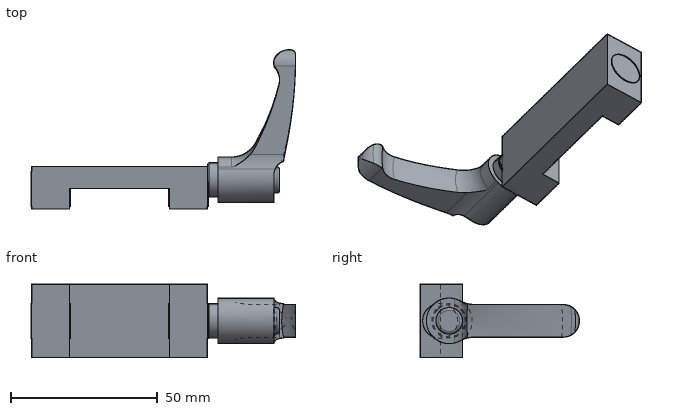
import cadquery as cq
import math

bar_length = 60.0
bar_depth = 14.55
bar_height = 25.0
foot_length = 13.0
notch_depth = 7.0

pad_radius = 6.0
pad_center_y = 6.9
pad_rise = 0.3

bar_start = pad_rise
bar_end = bar_start + bar_length

axis_y = 9.9
neck_radius = 5.5
collar_radius = 5.9
hub_radius = 7.8
screw_radius = 4.5
collar_start = 60.7
hub_start = 63.8
hub_end = 83.0
screw_end = 84.9
screw_edge_fillet = 0.9

lever_end_x = 90.4
arm_half_width = 5.6
arm_reach = 44.5
arm_base_radius = 7.9
arm_flat_start = 8.7
back_radius = 135.6
back_apex = 41.8
relief_radius = 4.7
relief_rise = 1.8


def disc(x_start, x_end, radius, y_center=axis_y):
    """Cylinder along X between two X positions."""
    return cq.Workplane("YZ", origin=(x_start, y_center, 0)).circle(radius).extrude(x_end - x_start)


def clamp_bar():
    """Bar with its notch and pads."""
    bar = (
        cq.Workplane("XY")
        .box(bar_length, bar_depth, bar_height, centered=(False, False, True))
        .translate((bar_start, 0, 0))
    )
    notch_length = bar_length - 2 * foot_length
    notch = (
        cq.Workplane("XY")
        .box(notch_length, notch_depth, bar_height, centered=(False, False, True))
        .translate((bar_start + foot_length, 0, 0))
    )
    bar = bar.cut(notch)
    for foot_start in (bar_start, bar_end - foot_length):
        foot_end = foot_start + foot_length
        bar = bar.union(disc(foot_start - pad_rise, foot_end + pad_rise, pad_radius, pad_center_y))
    return bar


def spindle():
    neck = disc(bar_end, collar_start, neck_radius)
    collar = disc(collar_start, hub_start, collar_radius)
    hub = disc(hub_start, hub_end, hub_radius)
    screw = disc(hub_start, screw_end, screw_radius).faces(">X").edges().fillet(screw_edge_fillet)
    return neck.union(collar).union(hub).union(screw)


def arm_section():
    """Arm seen along X: round tip, flat sides, and flares that run tangent into the hub."""
    flare_radius = (arm_half_width**2 + arm_flat_start**2 - hub_radius**2) / (
        2 * (hub_radius - arm_half_width)
    )
    flare_center_z = arm_half_width + flare_radius
    touch_angle = math.atan2(arm_flat_start, flare_center_z)
    touch_y = hub_radius * math.sin(touch_angle)
    touch_z = hub_radius * math.cos(touch_angle)
    flare_mid_y = arm_flat_start - flare_radius * math.sin(touch_angle / 2)
    flare_mid_z = flare_center_z - flare_radius * math.cos(touch_angle / 2)
    round_start = arm_reach - arm_half_width
    return (
        cq.Workplane("YZ", origin=(hub_start, axis_y, 0))
        .moveTo(touch_y, touch_z)
        .threePointArc((flare_mid_y, flare_mid_z), (arm_flat_start, arm_half_width))
        .lineTo(round_start, arm_half_width)
        .threePointArc((arm_reach, 0), (round_start, -arm_half_width))
        .lineTo(arm_flat_start, -arm_half_width)
        .threePointArc((flare_mid_y, -flare_mid_z), (touch_y, -touch_z))
        .threePointArc((-hub_radius, 0), (touch_y, touch_z))
        .close()
        .extrude(lever_end_x - hub_start)
    )


def back_x(radius):
    """X of the long, slightly bowed back of the arm at a radius from the hub axis."""
    return lever_end_x - back_radius + math.sqrt(back_radius**2 - (radius - back_apex) ** 2)


def arm_turning():
    """Side outline of the arm turned about the hub axis, so front and back curve around the hub."""
    root = (68.5, arm_base_radius)
    shank_bottom = (76.55, 12.5)
    shank_middle = (80.7, 20.9)
    shank_top = (84.7, 32.9)
    neck_middle = (84.6, 36.2)
    head_bottom = (83.15, 38.8)
    nose = (82.9, 40.7)
    nose_top = (83.5, 42.2)
    crown_middle = (85.9, 44.0)
    crown = (88.3, arm_reach)
    crown_corner = (89.8, 43.9)
    back_middle_radius = back_apex / 2
    return (
        cq.Workplane("XY", origin=(0, axis_y, 0))
        .moveTo(hub_start, 0)
        .lineTo(hub_start, arm_base_radius)
        .lineTo(*root)
        .tangentArcPoint(shank_bottom, relative=False)
        .threePointArc(shank_middle, shank_top)
        .threePointArc(neck_middle, head_bottom)
        .threePointArc(nose, nose_top)
        .threePointArc(crown_middle, crown)
        .threePointArc(crown_corner, (lever_end_x, back_apex))
        .threePointArc((back_x(back_middle_radius), back_middle_radius), (back_x(0), 0))
        .close()
        .revolve(360, (0, 0, 0), (1, 0, 0))
    )


def back_relief():
    """Space behind the hub end, with a hollow round leading out to the back of the arm."""
    relief_y = axis_y + relief_rise
    bottom_y = axis_y - 2 * hub_radius
    block_height = 4 * hub_radius
    center_x = hub_end + relief_radius
    return (
        cq.Workplane("XY", origin=(0, 0, -block_height / 2))
        .moveTo(hub_end, bottom_y)
        .lineTo(hub_end, relief_y)
        .threePointArc(
            (
                center_x - relief_radius * math.sqrt(0.5),
                relief_y + relief_radius * math.sqrt(0.5),
            ),
            (center_x, relief_y + relief_radius),
        )
        .lineTo(center_x, bottom_y)
        .close()
        .extrude(block_height)
    )


def lever_arm():
    return arm_section().intersect(arm_turning()).cut(back_relief())


result = clamp_bar().union(lever_arm()).union(spindle())